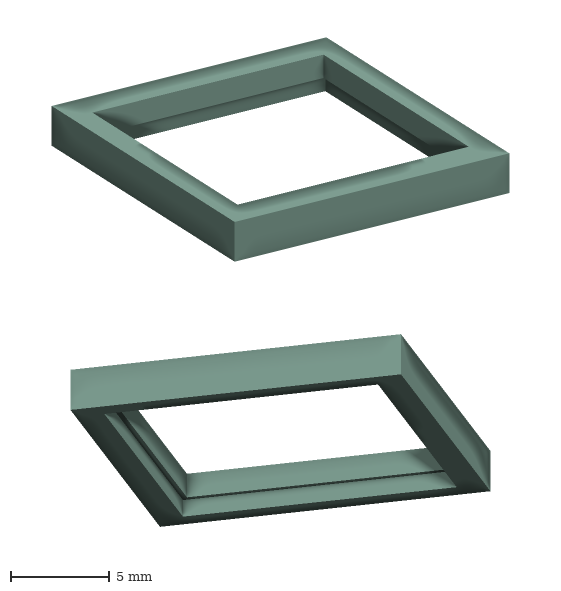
import cadquery as cq

length_x = 17.5
width_y = 16.5
height = 2.2

window_side = 13.9

recess_margin = 0.3
lip_thickness = 1.3
recess_side = window_side + 2 * recess_margin
recess_depth = height - lip_thickness


def block(size_x, size_y, size_z):
    """Rectangular block centred in X and Y, rising from Z = 0."""
    return cq.Workplane("XY").box(size_x, size_y, size_z, centered=(True, True, False))


frame = block(length_x, width_y, height)
window = block(window_side, window_side, height)
recess = block(recess_side, recess_side, recess_depth)

result = frame.cut(window).cut(recess)